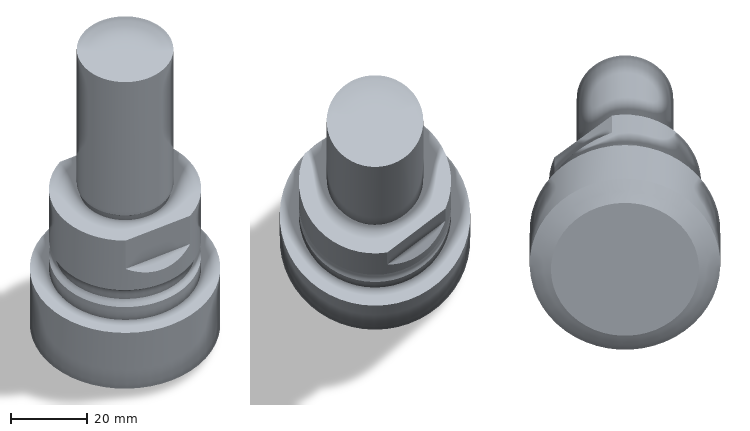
import cadquery as cq

total_height = 101.5
shank_radius = 12.7
neck_radius = 12.1
neck_top = 53.1
shank_chamfer = shank_radius - neck_radius

nut_radius = 25.02
nut_top = 23.0
nut_chamfer_height = 3.0
nut_chamfer_width = 5.6

collar_radius = 20.0
collar_top = 51.5
groove_bottom = 27.6
groove_top = 33.7
groove_depth = 1.5
groove_radius = collar_radius - groove_depth

flat_distance = 17.5
flat_bottom = 41.3
runout = collar_radius - flat_distance
cutter_margin = 1.0


def turned_body():
    """Revolve the half profile, from the bottom centre up to the shank end."""
    profile = [
        (0, 0),
        (nut_radius - nut_chamfer_width, 0),
        (nut_radius, nut_chamfer_height),
        (nut_radius, nut_top),
        (collar_radius, nut_top),
        (collar_radius, groove_bottom),
        (groove_radius, groove_bottom + groove_depth),
        (groove_radius, groove_top - groove_depth),
        (collar_radius, groove_top),
        (collar_radius, collar_top),
        (neck_radius, collar_top),
        (neck_radius, neck_top),
        (shank_radius, neck_top + shank_chamfer),
        (shank_radius, total_height),
        (0, total_height),
    ]
    return cq.Workplane("XZ").polyline(profile).close().revolve(360, (0, 0), (0, 1))


def flat_cutter(side):
    """Cutter for the wrench flat on the +X (side = 1) or -X (side = -1) side."""
    reach = runout + cutter_margin
    outer = flat_distance + reach
    section = [
        (side * flat_distance, collar_top + cutter_margin),
        (side * flat_distance, flat_bottom),
        (side * outer, flat_bottom - reach),
        (side * outer, collar_top + cutter_margin),
    ]
    return cq.Workplane("XZ").polyline(section).close().extrude(collar_radius, both=True)


result = turned_body()
for side in (-1, 1):
    result = result.cut(flat_cutter(side))